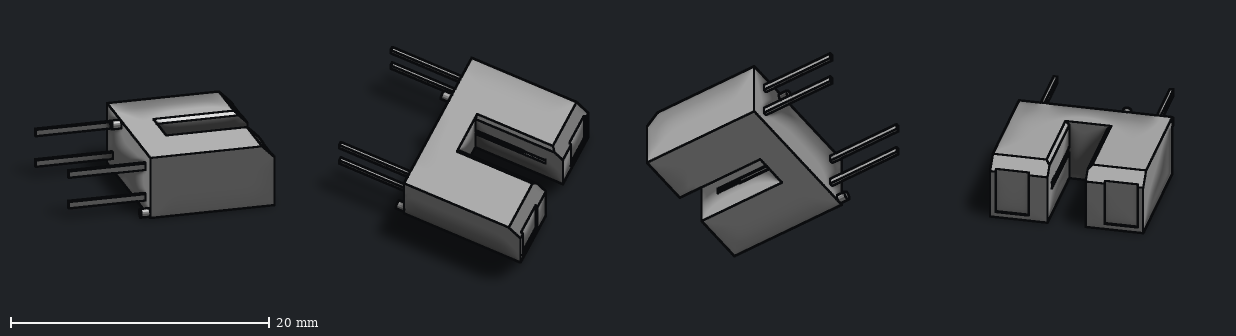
import cadquery as cq

total_length = 16.2
body_width = 12.2
body_length = 10.01
body_height = 5.0
tip_chamfer = 1.0

slot_width = 3.03
slot_depth = 7.5
slot_chamfer = 0.3
slot_root = body_length - slot_depth

tip_recess_width = 2.62
tip_recess_depth = 0.16
tip_recess_margin = 0.45

window_height = 0.49
window_depth = 0.25
window_length = 2.0
window_tip_margin = 1.5
window_floor = 2.25
shallow_depth = 0.08

peg_diameter = 0.7
peg_length = 0.71
left_peg_x = -2.35

lead_width = 0.3
lead_height = 0.53
lead_pitch_x = 9.23
lead_pitch_z = 2.55
lead_length = total_length - body_length


def box(x_min, x_max, y_min, y_max, z_min, z_max):
    """Axis-aligned box given by its limits."""
    size = (x_max - x_min, y_max - y_min, z_max - z_min)
    return cq.Workplane("XY").box(*size, centered=False).translate((x_min, y_min, z_min))


def make_fork():
    """Block with a chamfered tip and a slot whose top edges are chamfered."""
    half_width = body_width / 2
    half_slot = slot_width / 2
    block = box(-half_width, half_width, 0, body_length, 0, body_height)
    block = block.edges(">Y and >Z").chamfer(tip_chamfer)
    slot_profile = (
        cq.Workplane("XZ", origin=(0, slot_root, 0))
        .moveTo(-half_slot, 0)
        .lineTo(half_slot, 0)
        .lineTo(half_slot, body_height - slot_chamfer)
        .lineTo(half_slot + slot_chamfer, body_height)
        .lineTo(-half_slot - slot_chamfer, body_height)
        .lineTo(-half_slot, body_height - slot_chamfer)
        .close()
    )
    return block.cut(slot_profile.extrude(-slot_depth))


def make_right_arm_recesses():
    """Material removed from the arm on the +X side."""
    tip_x_max = body_width / 2 - tip_recess_margin
    tip_recess = box(
        tip_x_max - tip_recess_width, tip_x_max,
        body_length - tip_recess_depth, body_length,
        tip_recess_margin, body_height,
    )
    wall = slot_width / 2
    window_top = window_floor + window_height
    window_end = body_length - window_tip_margin
    window_start = window_end - window_length
    window = box(wall, wall + window_depth, window_start, window_end, window_floor, window_top)
    shallow = box(wall, wall + shallow_depth, slot_root, window_start, window_floor, window_top)
    return tip_recess.union(window).union(shallow)


def make_pegs():
    """One peg touching the top edge and one tucked into the lower +X corner."""
    radius = peg_diameter / 2
    centres = [(left_peg_x, body_height - radius), (body_width / 2 - radius, radius)]
    return cq.Workplane("XZ").pushPoints(centres).circle(radius).extrude(peg_length)


def make_leads():
    """Four rectangular leads, centred on the root face."""
    return (
        cq.Workplane("XZ", origin=(0, 0, body_height / 2))
        .rarray(lead_pitch_x, lead_pitch_z, 2, 2)
        .rect(lead_width, lead_height)
        .extrude(lead_length)
    )


recesses = make_right_arm_recesses()
fork = make_fork().cut(recesses).cut(recesses.mirror("YZ"))
result = fork.union(make_pegs()).union(make_leads())